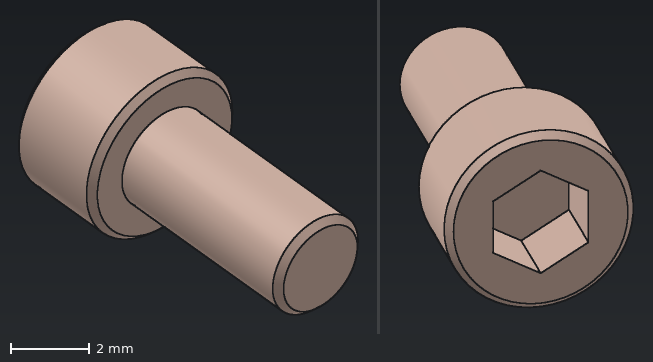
import cadquery as cq
import math

total_length = 9.0
head_length = total_length / 3
head_diameter = 5.0
shank_diameter = 2.925
edge_chamfer = 0.2
socket_width = 2.52
socket_depth = head_length * 2 / 3


def make_head():
    """Cylinder with both rims chamfered."""
    head = cq.Workplane("YZ").circle(head_diameter / 2).extrude(head_length)
    return head.edges("%CIRCLE").chamfer(edge_chamfer)


def make_shank():
    """Plain shank with a chamfered tip."""
    shank_length = total_length - head_length
    shank = (
        cq.Workplane("YZ", origin=(head_length, 0, 0))
        .circle(shank_diameter / 2)
        .extrude(shank_length)
    )
    return shank.faces(">X").edges().chamfer(edge_chamfer)


def make_socket():
    """Hexagonal recess with corners on the Z axis and flats facing Y."""
    across_corners = socket_width / math.cos(math.radians(30))
    return (
        cq.Workplane("YZ")
        .transformed(rotate=(0, 0, 90))
        .polygon(6, across_corners)
        .extrude(socket_depth)
    )


result = make_head().union(make_shank()).cut(make_socket())